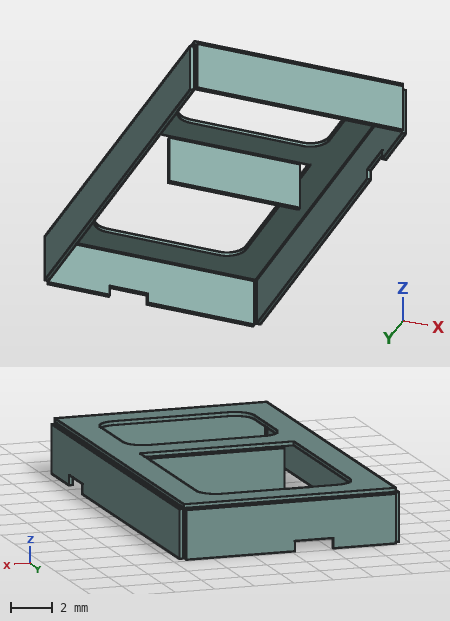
import cadquery as cq

length = 19.5
width = 11.1
height = 2.7
sheet = 0.2
wall_height = 2.44

plate_width = width - 2 * sheet
plate_length = length - 2 * sheet

window_width = 7.76
window_radius = 1.0
window_end = 8.05
bar_back = -1.25
bar_front = -2.77

side_wall_length = 18.92
end_wall_length = 10.57
bar_wall_length = 6.7

notch_length = 1.95
notch_height = 0.5
side_notch_end = -4.91
end_notch_end = -0.2


def window(y_front, y_back, rounded_edges):
    """Cutter for one window, with the selected vertical edges rounded."""
    return (
        cq.Workplane("XY")
        .box(window_width, y_back - y_front, height, centered=(True, False, False))
        .edges(rounded_edges)
        .fillet(window_radius)
        .translate((0, y_front, 0))
    )


def make_plate():
    """Flat top plate with a large and a small window."""
    blank = (
        cq.Workplane("XY", origin=(0, 0, height - sheet))
        .box(plate_width, plate_length, sheet, centered=(True, True, False))
    )
    large_window = window(bar_back, window_end, "|Z and >Y")
    small_window = window(-window_end, bar_front, "|Z")
    return blank.cut(large_window).cut(small_window)


def make_wall(size_x, size_y, x, y):
    """Upright wall standing on Z = 0, centred on (x, y)."""
    return (
        cq.Workplane("XY", origin=(x, y, 0))
        .box(size_x, size_y, wall_height, centered=(True, True, False))
    )


def cut_notch(wall, size_x, size_y, x, y):
    """Wall with a notch, centred on (x, y), open at its lower edge."""
    cutter = (
        cq.Workplane("XY", origin=(x, y, 0))
        .box(size_x, size_y, notch_height, centered=(True, True, False))
    )
    return wall.cut(cutter)


plate = make_plate()

side_x = (width - sheet) / 2
end_y = (length - sheet) / 2
left_wall = make_wall(sheet, side_wall_length, -side_x, 0)
front_wall = make_wall(end_wall_length, sheet, 0, -end_y)
right_wall = cut_notch(
    make_wall(sheet, side_wall_length, side_x, 0),
    sheet, notch_length, side_x, side_notch_end - notch_length / 2,
)
back_wall = cut_notch(
    make_wall(end_wall_length, sheet, 0, end_y),
    notch_length, sheet, end_notch_end - notch_length / 2, end_y,
)

bar_wall = make_wall(bar_wall_length, sheet, 0, bar_back + sheet / 2)

result = cq.Compound.makeCompound([
    plate.val(),
    left_wall.val(),
    right_wall.val(),
    front_wall.val(),
    back_wall.val(),
    bar_wall.val(),
])